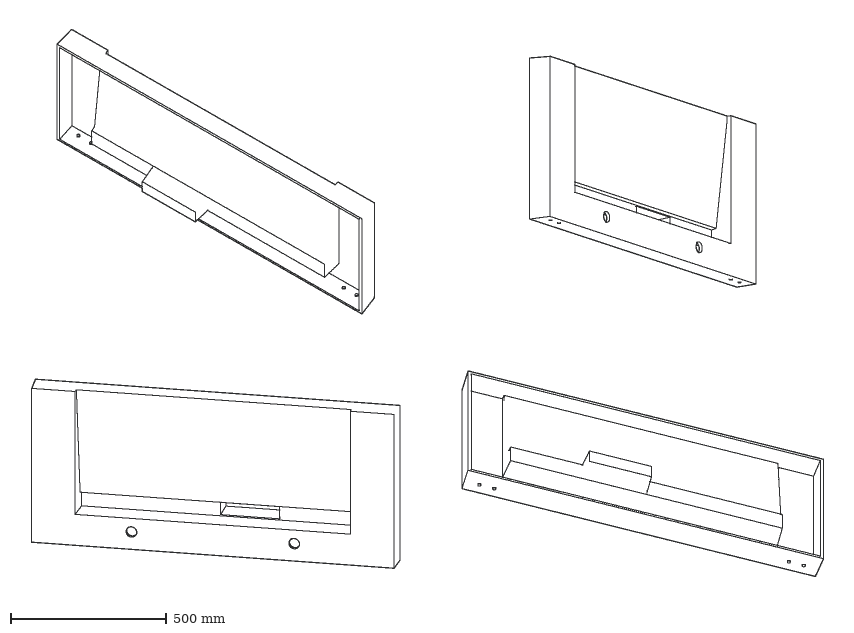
import cadquery as cq
WIDTH = 1200.0
HEIGHT = 533.0
DEPTH = 77.0
WALL = 12.0
SIDE_WALL = 11.4
FLOOR = 10.0
OUTER_DRAFT = 4.0
INNER_DRAFT = 2.0
CORNER_RADIUS = 2.0

WEDGE_WIDTH = 929.0
WEDGE_BOTTOM = 95.0
WEDGE_SIDE_DRAFT = 6.0
WEDGE_BOTTOM_DRAFT = 4.0
BAR_FRONT = -7.0
BAR_TOP = 172.0
SHELF_LENGTH = 17.0
SHELF_RISE = 4.0
RAMP_TOP_Y = 50.0
RAMP_EDGE_RADIUS = 4.0
SHELF_RADIUS = 2.0
NOTCH_RADIUS = 5.0

BOX_FRONT = -73.0
BOX_CENTER_X = -108.0
BOX_CENTER_Z = 136.0
BOX_BASE_WIDTH = 218.0
BOX_BASE_HEIGHT = 66.0
BOX_FRONT_WIDTH = 210.0
BOX_FRONT_HEIGHT = 55.0
BOX_EDGE_RADIUS = 2.0
BOX_ROOT_RADIUS = 2.0

PANEL_HOLE_DIAMETER = 35.0
PANEL_HOLE_X = 268.0
PANEL_HOLE_Z = 60.0
FLOOR_HOLE_DIAMETER = 10.0
FLOOR_HOLE_X = (497.0, 547.0)
FLOOR_HOLE_Y = 46.0

TOLERANCE = 0.6


def frustum(y_start, start, y_end, end):
    """Loft between two rectangles at constant Y, each given as (left, right, bottom, top)."""
    def outline(y, bounds):
        left, right, bottom, top = bounds
        corners = [(left, bottom), (right, bottom), (right, top), (left, top)]
        points = [cq.Vector(x, y, z) for x, z in corners]
        return cq.Wire.makePolygon(points, close=True)

    outlines = [outline(y_start, start), outline(y_end, end)]
    return cq.Workplane(cq.Solid.makeLoft(outlines, True))


def edges_centred_at(x, y, z):
    """Selector for the edges whose midpoint lies at the given place."""
    low = (x - TOLERANCE, y - TOLERANCE, z - TOLERANCE)
    high = (x + TOLERANCE, y + TOLERANCE, z + TOLERANCE)
    return cq.selectors.BoxSelector(low, high)


def make_tray():
    """Open tray whose walls lean inward toward the back; the underside stays flat."""
    half = WIDTH / 2
    outer = frustum(
        0, (-half, half, 0, HEIGHT),
        DEPTH, (-half + OUTER_DRAFT, half - OUTER_DRAFT, 0, HEIGHT - OUTER_DRAFT),
    )
    corner_x = half - OUTER_DRAFT / 2
    corner_z = HEIGHT - OUTER_DRAFT / 2
    left_corner = edges_centred_at(-corner_x, DEPTH / 2, corner_z)
    right_corner = edges_centred_at(corner_x, DEPTH / 2, corner_z)
    outer = outer.edges(left_corner + right_corner).fillet(CORNER_RADIUS)

    rim_half = half - SIDE_WALL
    rim_top = HEIGHT - WALL
    panel_half = rim_half - INNER_DRAFT
    pocket = frustum(
        0, (-rim_half, rim_half, FLOOR, rim_top),
        DEPTH - WALL, (-panel_half, panel_half, FLOOR + INNER_DRAFT, rim_top - INNER_DRAFT),
    )
    return outer.cut(pocket)


def wedge_solid(inset, top):
    """Ramp, shelf and bar as one sharp block up to top, its outer faces moved inward by inset."""
    bar_front = BAR_FRONT + inset
    bar_top = BAR_TOP - inset
    ramp_top_y = RAMP_TOP_Y + inset
    profile = [
        (DEPTH, 0),
        (bar_front, 0),
        (bar_front, bar_top),
        (bar_front + SHELF_LENGTH, bar_top + SHELF_RISE),
        (ramp_top_y, HEIGHT - WALL),
        (ramp_top_y, top),
        (DEPTH, top),
    ]
    half_back = WEDGE_WIDTH / 2 - inset
    half_front = half_back - WEDGE_SIDE_DRAFT
    bottom = WEDGE_BOTTOM + inset
    prism = cq.Workplane("YZ").polyline(profile).close().extrude(WIDTH / 2, both=True)
    drafted_sides = frustum(
        DEPTH, (-half_back, half_back, bottom, top),
        bar_front, (-half_front, half_front, bottom + WEDGE_BOTTOM_DRAFT, top),
    )
    return prism.intersect(drafted_sides)


def make_wedge():
    """Outside of the wedge with its shelf corner and the side edges of its ramp rounded."""
    wedge = wedge_solid(0, HEIGHT - OUTER_DRAFT)
    shelf_corner = edges_centred_at(0, BAR_FRONT + SHELF_LENGTH, BAR_TOP + SHELF_RISE)
    wedge = wedge.edges(shelf_corner).fillet(SHELF_RADIUS)
    ramp_sides = cq.selectors.BoxSelector(
        (-WIDTH / 2, BAR_FRONT + SHELF_LENGTH, HEIGHT / 2),
        (WIDTH / 2, RAMP_TOP_Y - TOLERANCE, HEIGHT - WALL - TOLERANCE),
    )
    return wedge.edges(ramp_sides).fillet(RAMP_EDGE_RADIUS)


def box_solid(inset):
    """Tapered handle box from the bar to its front face, its outer faces moved inward by inset."""
    def bounds(width, height):
        half_width = width / 2 - inset
        half_height = height / 2 - inset
        return (
            BOX_CENTER_X - half_width, BOX_CENTER_X + half_width,
            BOX_CENTER_Z - half_height, BOX_CENTER_Z + half_height,
        )

    return frustum(
        BAR_FRONT + inset, bounds(BOX_BASE_WIDTH, BOX_BASE_HEIGHT),
        BOX_FRONT + inset, bounds(BOX_FRONT_WIDTH, BOX_FRONT_HEIGHT),
    )


def add_box(wedge):
    """Join the handle box to the bar and round the corner all around its root."""
    box = box_solid(0).edges("not #Y").fillet(BOX_EDGE_RADIUS)
    half_width = BOX_BASE_WIDTH / 2 + TOLERANCE
    half_height = BOX_BASE_HEIGHT / 2 + TOLERANCE
    root = cq.selectors.BoxSelector(
        (BOX_CENTER_X - half_width, BAR_FRONT - TOLERANCE, BOX_CENTER_Z - half_height),
        (BOX_CENTER_X + half_width, BAR_FRONT + TOLERANCE, BOX_CENTER_Z + half_height),
    )
    joined = wedge.union(box)
    return joined.edges(root).fillet(BOX_ROOT_RADIUS)


def make_panel_holes():
    """Pair of round holes through the back panel below the wedge."""
    return (
        cq.Workplane("XZ", origin=(0, DEPTH, 0))
        .pushPoints([(-PANEL_HOLE_X, PANEL_HOLE_Z), (PANEL_HOLE_X, PANEL_HOLE_Z)])
        .circle(PANEL_HOLE_DIAMETER / 2)
        .extrude(2 * WALL)
    )


def make_floor_holes():
    """Two small holes through the floor near each end."""
    places = [(side * x, FLOOR_HOLE_Y) for side in (-1, 1) for x in FLOOR_HOLE_X]
    return (
        cq.Workplane("XY")
        .pushPoints(places)
        .circle(FLOOR_HOLE_DIAMETER / 2)
        .extrude(2 * FLOOR)
    )


pressing = add_box(make_wedge())
hollow = wedge_solid(WALL, HEIGHT).union(box_solid(WALL))
body = make_tray().union(pressing).cut(hollow)

notch_edge = cq.selectors.NearestToPointSelector((0, RAMP_TOP_Y + WALL, HEIGHT))
body = body.edges("|X").edges(notch_edge).fillet(NOTCH_RADIUS)

result = body.cut(make_panel_holes()).cut(make_floor_holes())